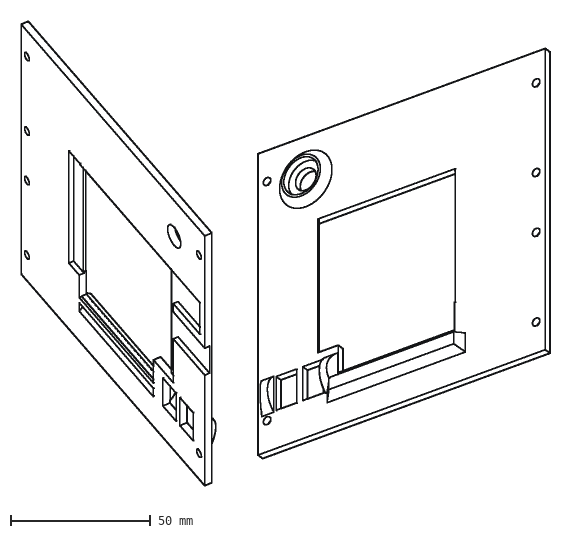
import cadquery as cq

PANEL_SIZE = 126.0
PANEL_THICKNESS = 3.0
RECESS_DEPTH = 2.0

SCREW_DIAMETER = 3.2
SCREW_INSET_X = 4.0
SCREW_INSET_Z = 13.0
MIDDLE_SCREW_OFFSET = 12.5

SHAFT_X = 105.0
SHAFT_Z = 108.0
SHAFT_DIAMETER = 9.0
COUNTERBORE_DIAMETER = 15.0
BOSS_HEIGHT = 3.0
BOSS_TOP_RADIUS = 8.5
BOSS_BASE_RADIUS = BOSS_TOP_RADIUS + BOSS_HEIGHT

WINDOW_LEFT = 39.5
WINDOW_RIGHT = 99.8
WINDOW_BOTTOM = 33.7
WINDOW_TOP = 89.5
LOWER_LEFT = 39.9
LOWER_RIGHT = 90.8
LOWER_BOTTOM = 22.2
SILL_STEP_DROP = 0.2
SILL_STEP_DEPTH = 1.0

LEFT_RECESS_LEFT = 32.8
LEFT_RECESS_RIGHT = 40.4
LEFT_RECESS_BOTTOM = 33.3
LEFT_RECESS_TOP = 89.9

RIGHT_RECESS_RIGHT = 104.4
POCKET_RIGHT = 122.7
BAR_TOP = 73.6
BAR_BOTTOM = 69.4
CHANNEL_BOTTOM = 55.8

SLOT_BOTTOM = 15.1
SLOT_TOP = 19.3
HOOD_HEIGHT = 3.0
HOOD_OVERHANG = 4.9
HOOD_BOTTOM = 11.3

SWITCH_CENTER_X = 107.65
SWITCH_CENTER_Z = 23.0
SWITCH_WIDTH = 9.0
SWITCH_HEIGHT = 14.1
SWITCH_PITCH = 11.7
CHEEK_HEIGHT = 4.0
CHEEK_CHORD = 15.0
CHEEK_INNER_OFFSET = 11.35
CHEEK_TOP_WIDTH = 3.2
CHEEK_BASE_WIDTH = 5.3


def block(left, right, bottom, top, front=0.0, back=PANEL_THICKNESS):
    """Box spanning the given X, Z and Y limits."""
    return cq.Workplane("XY").box(
        right - left, back - front, top - bottom, centered=False
    ).translate((left, front, bottom))


def recess(left, right, bottom, top):
    """Cutter for a pocket sunk into the front face."""
    return block(left, right, bottom, top, back=RECESS_DEPTH)


def shaft_hole():
    """Cutter for the stepped shaft hole, wider at the rear."""
    bore = (
        cq.Workplane("XZ", origin=(SHAFT_X, 0, SHAFT_Z))
        .circle(SHAFT_DIAMETER / 2)
        .extrude(-PANEL_THICKNESS)
    )
    counterbore = (
        cq.Workplane("XZ", origin=(SHAFT_X, PANEL_THICKNESS, SHAFT_Z))
        .circle(COUNTERBORE_DIAMETER / 2)
        .extrude(-BOSS_HEIGHT)
    )
    return bore.union(counterbore)


def screw_holes():
    far_x = PANEL_SIZE - SCREW_INSET_X
    far_z = PANEL_SIZE - SCREW_INSET_Z
    middle = PANEL_SIZE / 2
    left_heights = [
        SCREW_INSET_Z,
        middle - MIDDLE_SCREW_OFFSET,
        middle + MIDDLE_SCREW_OFFSET,
        far_z,
    ]
    places = [(SCREW_INSET_X, z) for z in left_heights]
    places += [(far_x, SCREW_INSET_Z), (far_x, far_z)]
    return (
        cq.Workplane("XZ")
        .pushPoints(places)
        .circle(SCREW_DIAMETER / 2)
        .extrude(-PANEL_THICKNESS)
    )


def shaft_boss():
    """Truncated cone behind the shaft hole."""
    return (
        cq.Workplane("XZ", origin=(SHAFT_X, PANEL_THICKNESS, SHAFT_Z))
        .circle(BOSS_BASE_RADIUS)
        .workplane(offset=-BOSS_HEIGHT)
        .circle(BOSS_TOP_RADIUS)
        .loft(ruled=True)
    )


def sill_step():
    """Cutter for the shallow step along the lower opening's sill."""
    step_bottom = LOWER_BOTTOM - SILL_STEP_DROP
    return block(LOWER_LEFT, LOWER_RIGHT, step_bottom, LOWER_BOTTOM, back=SILL_STEP_DEPTH)


def slot_hood():
    """Ridge along the slot with 45 degree ends and lower edge, square along its top."""
    left = LOWER_LEFT - HOOD_OVERHANG
    right = LOWER_RIGHT + HOOD_OVERHANG
    rear = PANEL_THICKNESS + HOOD_HEIGHT
    end_profile = [
        (left, PANEL_THICKNESS),
        (right, PANEL_THICKNESS),
        (right - HOOD_HEIGHT, rear),
        (left + HOOD_HEIGHT, rear),
    ]
    side_profile = [
        (PANEL_THICKNESS, HOOD_BOTTOM),
        (PANEL_THICKNESS, SLOT_TOP),
        (rear, SLOT_TOP),
        (rear, HOOD_BOTTOM + HOOD_HEIGHT),
    ]
    along_z = cq.Workplane("XY").polyline(end_profile).close().extrude(PANEL_SIZE)
    along_x = cq.Workplane("YZ").polyline(side_profile).close().extrude(PANEL_SIZE)
    return along_z.intersect(along_x)


def slot_cut():
    """Wedge whose floor climbs at 45 degrees from the front face to the slot's top."""
    rise = SLOT_TOP - SLOT_BOTTOM
    return (
        cq.Workplane("YZ", origin=(LOWER_LEFT, 0, 0))
        .polyline([(0, SLOT_BOTTOM), (0, SLOT_TOP), (rise, SLOT_TOP)])
        .close()
        .extrude(LOWER_RIGHT - LOWER_LEFT)
    )


def switch_cheek(side):
    """Circular-segment wall outside the switches; side is -1 (left) or +1 (right)."""
    inner = SWITCH_CENTER_X + side * CHEEK_INNER_OFFSET
    rear = PANEL_THICKNESS + CHEEK_HEIGHT
    segment = (
        cq.Workplane("YZ")
        .moveTo(PANEL_THICKNESS, SWITCH_CENTER_Z - CHEEK_CHORD / 2)
        .threePointArc(
            (rear, SWITCH_CENTER_Z),
            (PANEL_THICKNESS, SWITCH_CENTER_Z + CHEEK_CHORD / 2),
        )
        .close()
        .extrude(PANEL_SIZE)
    )
    tapered_wall = (
        cq.Workplane("XY")
        .polyline([
            (inner, PANEL_THICKNESS),
            (inner + side * CHEEK_BASE_WIDTH, PANEL_THICKNESS),
            (inner + side * CHEEK_TOP_WIDTH, rear),
            (inner, rear),
        ])
        .close()
        .extrude(PANEL_SIZE)
    )
    return segment.intersect(tapered_wall)


def switch_opening(side):
    center = SWITCH_CENTER_X + side * SWITCH_PITCH / 2
    return block(
        center - SWITCH_WIDTH / 2,
        center + SWITCH_WIDTH / 2,
        SWITCH_CENTER_Z - SWITCH_HEIGHT / 2,
        SWITCH_CENTER_Z + SWITCH_HEIGHT / 2,
    )


panel = block(0, PANEL_SIZE, 0, PANEL_SIZE)

panel = panel.union(shaft_boss()).union(slot_hood())
for side in (-1, 1):
    panel = panel.union(switch_cheek(side))

panel = panel.cut(screw_holes())
panel = panel.cut(shaft_hole())
panel = panel.cut(block(WINDOW_LEFT, WINDOW_RIGHT, WINDOW_BOTTOM, WINDOW_TOP))
panel = panel.cut(block(LOWER_LEFT, LOWER_RIGHT, LOWER_BOTTOM, WINDOW_TOP))
panel = panel.cut(sill_step())
panel = panel.cut(slot_cut())
for side in (-1, 1):
    panel = panel.cut(switch_opening(side))

panel = panel.cut(recess(LEFT_RECESS_LEFT, LEFT_RECESS_RIGHT, LEFT_RECESS_BOTTOM, LEFT_RECESS_TOP))
panel = panel.cut(recess(WINDOW_RIGHT, RIGHT_RECESS_RIGHT, WINDOW_BOTTOM, WINDOW_TOP))
panel = panel.cut(recess(RIGHT_RECESS_RIGHT, POCKET_RIGHT, BAR_TOP, WINDOW_TOP))
panel = panel.cut(recess(RIGHT_RECESS_RIGHT, PANEL_SIZE, CHANNEL_BOTTOM, BAR_BOTTOM))

result = panel